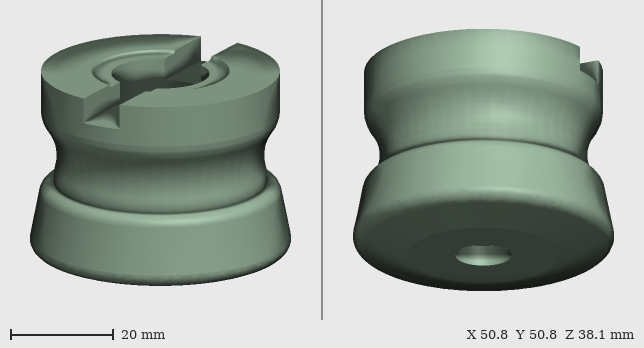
import cadquery as cq
import math

total_height = 38.1
rim_bottom = 30.05
shoulder_bottom = 27.0
collar_top = 15.6
land_height = 0.15

rim_radius = 46.45 / 2
seat_radius = 41.5 / 2
plug_radius = 18.75
ledge_height = 4.4
shoulder_arc_radius = 5.05
neck_arc_radius = 10.15

base_flat_radius = 14.7
base_slope = 0.2
foot_radius = 25.8
collar_radius = 23.15
collar_fillet = 2.45
foot_fillet = 2.3

bore_radius = 19.1 / 2
through_radius = 11.0 / 2
funnel_bottom = 4.05
funnel_angle = 118
funnel_height = (bore_radius - through_radius) / math.tan(math.radians(funnel_angle / 2))
recess_floor_radius = 12.6
recess_rim_radius = 13.45
recess_depth = 0.6
slot_width = 8.1
slot_depth = 4.95


def underside_z(radius):
    """Height of the dished underside at a given radius."""
    return base_slope * (radius - base_flat_radius)


def make_core_blank():
    shoulder_angle = math.asin((rim_bottom - shoulder_bottom) / shoulder_arc_radius)
    shoulder_radius = rim_radius - shoulder_arc_radius * (1 - math.cos(shoulder_angle))
    neck_center_r = shoulder_radius + neck_arc_radius * math.cos(shoulder_angle)
    neck_radius = neck_center_r - neck_arc_radius
    neck_z = shoulder_bottom - neck_arc_radius * math.sin(shoulder_angle)
    land_top = collar_top + land_height
    neck_bottom = (neck_z + land_top) / 2
    neck_drop = neck_z - neck_bottom
    neck_bottom_radius = neck_center_r - math.sqrt(neck_arc_radius**2 - neck_drop**2)
    return (
        cq.Workplane("XZ")
        .lineTo(0, total_height)
        .lineTo(rim_radius, total_height)
        .lineTo(rim_radius, rim_bottom)
        .tangentArcPoint((shoulder_radius, shoulder_bottom), relative=False)
        .threePointArc((neck_radius, neck_z), (neck_bottom_radius, neck_bottom))
        .tangentArcPoint((seat_radius, land_top), relative=False)
        .lineTo(seat_radius, ledge_height)
        .lineTo(plug_radius, ledge_height)
        .lineTo(plug_radius, underside_z(plug_radius))
        .lineTo(base_flat_radius, 0)
        .close()
        .revolve(360, (0, 0, 0), (0, 1, 0))
    )


def make_bore():
    """Stepped bore: wide from the top, then a funnel into the through hole."""
    return (
        cq.Workplane("XZ")
        .lineTo(through_radius, 0)
        .lineTo(through_radius, funnel_bottom)
        .lineTo(bore_radius, funnel_bottom + funnel_height)
        .lineTo(bore_radius, total_height)
        .lineTo(0, total_height)
        .close()
        .revolve(360, (0, 0, 0), (0, 1, 0))
    )


def make_recess():
    """Shallow round recess in the top, its floor curving up to the rim."""
    floor_z = total_height - recess_depth
    return (
        cq.Workplane("XZ")
        .moveTo(0, floor_z)
        .lineTo(recess_floor_radius, floor_z)
        .tangentArcPoint((recess_rim_radius, total_height), relative=False)
        .lineTo(0, total_height)
        .close()
        .revolve(360, (0, 0, 0), (0, 1, 0))
    )


def make_slot():
    """Driver slot running along Y across the whole top."""
    return (
        cq.Workplane("XY")
        .workplane(offset=total_height - slot_depth)
        .rect(slot_width, 2 * foot_radius)
        .extrude(slot_depth)
    )


def make_core():
    return make_core_blank().cut(make_bore()).cut(make_recess()).cut(make_slot())


def make_foot_ring():
    foot_z = underside_z(foot_radius)
    ring = (
        cq.Workplane("XZ")
        .moveTo(plug_radius, underside_z(plug_radius))
        .lineTo(foot_radius, foot_z)
        .lineTo(collar_radius, collar_top)
        .lineTo(seat_radius, collar_top)
        .lineTo(seat_radius, ledge_height)
        .lineTo(plug_radius, ledge_height)
        .close()
        .revolve(360, (0, 0, 0), (0, 1, 0))
    )
    outermost = cq.selectors.RadiusNthSelector(-1)
    ring = ring.edges(outermost).fillet(foot_fillet)
    return ring.faces(">Z").edges(outermost).fillet(collar_fillet)


core = make_core()
foot_ring = make_foot_ring()
result = cq.Compound.makeCompound([core.val(), foot_ring.val()])